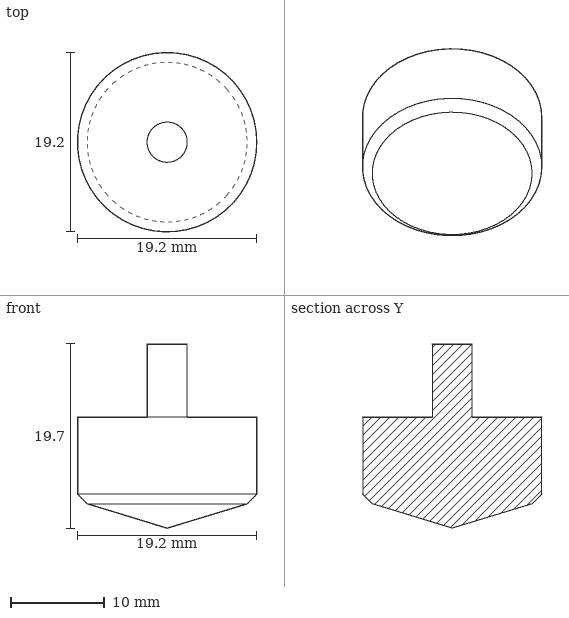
import cadquery as cq

body_diameter = 19.2
pin_diameter = 4.3
total_height = 19.7
pin_length = 7.8
chamfer_size = 1.05
tip_height = 2.6

body_radius = body_diameter / 2
pin_radius = pin_diameter / 2
tip_z = pin_length - total_height
cone_base_z = tip_z + tip_height
cone_base_radius = body_radius - chamfer_size
chamfer_top_z = cone_base_z + chamfer_size


def turned_profile():
    """Half section in the XZ plane, from the tip up to the end of the pin."""
    return (
        cq.Workplane("XZ")
        .moveTo(0, tip_z)
        .lineTo(cone_base_radius, cone_base_z)
        .lineTo(body_radius, chamfer_top_z)
        .lineTo(body_radius, 0)
        .lineTo(pin_radius, 0)
        .lineTo(pin_radius, pin_length)
        .lineTo(0, pin_length)
        .close()
    )


result = turned_profile().revolve(360, (0, 0, 0), (0, 1, 0))